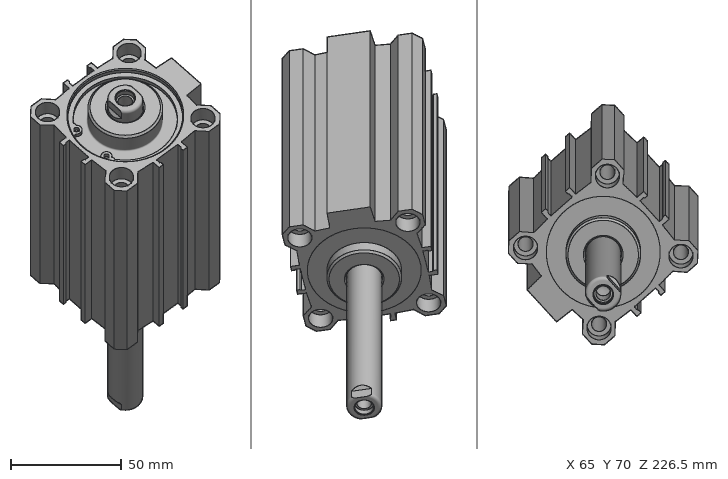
import cadquery as cq
import math

HOUSING_LENGTH = 120.0
HALF_WIDTH = 32.5
WALL_AT_CENTRE = 28.4
WALL_AT_LOBE = 27.8
LOBE_CHAMFER = 4.1
LOBE_FLAT_END = 22.0
LOBE_ROOT = 17.5

RIB_OUTER = 8.65
RIB_INNER = 6.5
RIB_LIP = 6.0
RIB_LIP_START = 30.4
RIB_LIP_FULL = 31.0

BLOCK_TOP = 37.5
BLOCK_ROOT_HALF_WIDTH = 10.5
BLOCK_TOP_HALF_WIDTH = 10.0

BOLT_PITCH = 50.0
BOLT_HOLE_DIAMETER = 6.8
BOLT_HEAD_DIAMETER = 11.0
BOLT_HEAD_DEPTH = 8.5

BORE_DIAMETER = 52.2
BORE_MOUTH_DIAMETER = 53.2
COVER_DIAMETER = 51.8
COVER_RECESS_DEPTH = 4.5
COVER_FLANGE_THICKNESS = 12.0
BOSS_DIAMETER = 34.0
BOSS_PROJECTION = 6.0
BOSS_CHAMFER = 1.0
BOSS_ROOT_FILLET = 0.7
ROD_MOUTH_DIAMETER = 18.0
ROD_MOUTH_ROOT_DIAMETER = 16.54
ROD_CLEARANCE_DEPTH = 3.0

RING_INNER_DIAMETER = 47.4
RING_THICKNESS = 2.0
RING_EAR_X = 10.15
RING_EAR_Y = -20.7
RING_EAR_RADIUS = 2.5
RING_EAR_HOLE_DIAMETER = 2.5
RING_GAP_HALF_WIDTH = 8.4
RING_SHOULDER_Y = -19.05

ROD_DIAMETER = 16.0
ROD_TOP_PROJECTION = 13.0
ROD_BOTTOM_PROJECTION = 93.5
ROD_END_FILLET = 1.5
ROD_FLATS_WIDTH = 13.0
ROD_FLATS_LENGTH = 5.0
ROD_HOLE_DIAMETER = 6.65
ROD_HOLE_DEPTH = 13.0
ROD_HOLE_RIM_DIAMETER = 9.3
ROD_HOLE_MOUTH_DIAMETER = 8.57
ROD_HOLE_MOUTH_DEPTH = 3.0
ROD_HOLE_FLOOR_ANGLE = 160.0

ROD_TOP = HOUSING_LENGTH + ROD_TOP_PROJECTION
ROD_BOTTOM = -ROD_BOTTOM_PROJECTION
ROD_MIDDLE = (ROD_TOP + ROD_BOTTOM) / 2
RING_BOTTOM = HOUSING_LENGTH - COVER_RECESS_DEPTH
COVER_BOTTOM = RING_BOTTOM - COVER_FLANGE_THICKNESS
BOSS_TOP = HOUSING_LENGTH + BOSS_PROJECTION


def cylinder(diameter, bottom, top):
    return cq.Workplane("XY").workplane(offset=bottom).circle(diameter / 2).extrude(top - bottom)


def cone(bottom_diameter, top_diameter, bottom, top):
    lower = cq.Workplane("XY").workplane(offset=bottom).circle(bottom_diameter / 2)
    return lower.workplane(offset=top - bottom).circle(top_diameter / 2).loft()


def ribbed_wall():
    """Outline of the -Y side, from the lobe at -X to the lobe at +X."""
    left_half = [
        (-LOBE_FLAT_END, -HALF_WIDTH),
        (-LOBE_ROOT, -WALL_AT_LOBE),
        (-RIB_OUTER, -WALL_AT_CENTRE),
        (-RIB_OUTER, -HALF_WIDTH),
        (-RIB_LIP, -HALF_WIDTH),
        (-RIB_LIP, -RIB_LIP_FULL),
        (-RIB_INNER, -RIB_LIP_START),
        (-RIB_INNER, -WALL_AT_CENTRE),
    ]
    return left_half + [(-x, y) for x, y in reversed(left_half)]


def block_wall():
    """Outline of the +Y side with its tapered block, from the lobe at +X to the lobe at -X."""
    right_half = [
        (LOBE_FLAT_END, HALF_WIDTH),
        (LOBE_ROOT, WALL_AT_LOBE),
        (BLOCK_ROOT_HALF_WIDTH, WALL_AT_CENTRE),
        (BLOCK_TOP_HALF_WIDTH, BLOCK_TOP),
    ]
    return right_half + [(-x, y) for x, y in reversed(right_half)]


def corner_chamfer(x_side, y_side):
    """The two ends of the slanted face on the outside of a lobe, from the X-facing flat."""
    short = HALF_WIDTH - LOBE_CHAMFER
    return [(x_side * HALF_WIDTH, y_side * short), (x_side * short, y_side * HALF_WIDTH)]


def housing_outline():
    front = ribbed_wall()
    right = [(-y, x) for x, y in front]
    left = [(y, -x) for x, y in front]
    outline = corner_chamfer(-1, -1) + front
    outline += corner_chamfer(1, -1)[::-1] + right
    outline += corner_chamfer(1, 1) + block_wall()
    outline += corner_chamfer(-1, 1)[::-1] + left
    return outline


def make_housing():
    body = cq.Workplane("XY").polyline(housing_outline()).close().extrude(HOUSING_LENGTH)
    mouth = (BORE_MOUTH_DIAMETER - BORE_DIAMETER) / 2
    body = body.cut(cylinder(BORE_DIAMETER, COVER_BOTTOM, HOUSING_LENGTH))
    body = body.cut(cone(BORE_DIAMETER, BORE_MOUTH_DIAMETER, HOUSING_LENGTH - mouth, HOUSING_LENGTH))
    body = body.cut(cylinder(COVER_DIAMETER, 0, COVER_FLANGE_THICKNESS))
    body = body.cut(cylinder(ROD_DIAMETER, 0, HOUSING_LENGTH))
    for x_side in (-1, 1):
        for y_side in (-1, 1):
            place = (x_side * BOLT_PITCH / 2, y_side * BOLT_PITCH / 2, 0)
            hole = cylinder(BOLT_HOLE_DIAMETER, 0, HOUSING_LENGTH)
            hole = hole.union(cylinder(BOLT_HEAD_DIAMETER, 0, BOLT_HEAD_DEPTH))
            top_floor = HOUSING_LENGTH - BOLT_HEAD_DEPTH
            hole = hole.union(cylinder(BOLT_HEAD_DIAMETER, top_floor, HOUSING_LENGTH))
            body = body.cut(hole.translate(place))
    return body


def rod_passage(bottom, top):
    """Rod hole with a clearance and a countersink at its top."""
    countersink_depth = (ROD_MOUTH_DIAMETER - ROD_MOUTH_ROOT_DIAMETER) / 2
    passage = cylinder(ROD_DIAMETER, bottom, top)
    passage = passage.union(cylinder(ROD_MOUTH_ROOT_DIAMETER, top - ROD_CLEARANCE_DEPTH, top))
    return passage.union(cone(ROD_MOUTH_ROOT_DIAMETER, ROD_MOUTH_DIAMETER, top - countersink_depth, top))


def make_top_cover():
    boss = cylinder(BOSS_DIAMETER, RING_BOTTOM, BOSS_TOP).faces(">Z").chamfer(BOSS_CHAMFER)
    cover = cylinder(COVER_DIAMETER, COVER_BOTTOM, RING_BOTTOM).union(boss)
    flange_face = cover.faces("|Z").faces(">Z[-2]")
    cover = flange_face.edges(cq.selectors.RadiusNthSelector(0)).fillet(BOSS_ROOT_FILLET)
    return cover.cut(rod_passage(COVER_BOTTOM, BOSS_TOP))


def make_bottom_cover():
    boss = cylinder(BOSS_DIAMETER, -BOSS_PROJECTION, 0).faces("<Z").chamfer(BOSS_CHAMFER)
    cover = cylinder(COVER_DIAMETER, 0, COVER_FLANGE_THICKNESS).union(boss)
    passage = rod_passage(-COVER_FLANGE_THICKNESS, BOSS_PROJECTION).mirror("XY")
    return cover.cut(passage)


def box_below(y_edge, width):
    """Box of the ring's thickness that reaches from y_edge past the ring in -Y."""
    box = cq.Workplane("XY").box(width, BORE_DIAMETER, RING_THICKNESS, centered=(True, False, False))
    return box.translate((0, y_edge - BORE_DIAMETER, 0))


def make_retaining_ring():
    height = RING_THICKNESS
    disc = cylinder(BORE_DIAMETER, 0, height)
    opening = cylinder(RING_INNER_DIAMETER, 0, height)
    below_shoulder = box_below(RING_SHOULDER_Y, BORE_DIAMETER)
    gap = box_below(0, 2 * RING_GAP_HALF_WIDTH)
    ring = disc.cut(opening.cut(below_shoulder)).cut(gap)
    for side in (-1, 1):
        place = (side * RING_EAR_X, RING_EAR_Y, 0)
        ring = ring.union(cylinder(2 * RING_EAR_RADIUS, 0, height).translate(place))
        ring = ring.cut(cylinder(RING_EAR_HOLE_DIAMETER, 0, height).translate(place))
    return ring.translate((0, 0, RING_BOTTOM))


def flat_cutter(side):
    """Removes one flat at the top end of the rod; its lower end slopes out at 45 degrees."""
    inner = ROD_FLATS_WIDTH / 2
    outer = ROD_DIAMETER
    flat_end = ROD_TOP - ROD_FLATS_LENGTH
    section = [
        (side * inner, ROD_TOP),
        (side * inner, flat_end),
        (side * outer, flat_end - (outer - inner)),
        (side * outer, ROD_TOP),
    ]
    return cq.Workplane("YZ").polyline(section).close().extrude(ROD_DIAMETER / 2, both=True)


def rod_end_hole():
    """Counterbored blind hole with a shallow conical floor, at the top end of the rod."""
    floor = ROD_TOP - ROD_HOLE_DEPTH
    radius = ROD_HOLE_DIAMETER / 2
    rim_radius = ROD_HOLE_RIM_DIAMETER / 2
    mouth_radius = ROD_HOLE_MOUTH_DIAMETER / 2
    point = radius / math.tan(math.radians(ROD_HOLE_FLOOR_ANGLE / 2))
    section = [
        (0, ROD_TOP),
        (rim_radius, ROD_TOP),
        (mouth_radius, ROD_TOP - (rim_radius - mouth_radius)),
        (mouth_radius, ROD_TOP - ROD_HOLE_MOUTH_DEPTH),
        (radius, ROD_TOP - ROD_HOLE_MOUTH_DEPTH),
        (radius, floor),
        (0, floor - point),
    ]
    return cq.Workplane("XZ").polyline(section).close().revolve(360, (0, 0, 0), (0, 1, 0))


def make_rod():
    rod = cylinder(ROD_DIAMETER, ROD_BOTTOM, ROD_TOP).faces("<Z or >Z").edges().fillet(ROD_END_FILLET)
    end_cuts = [flat_cutter(-1), flat_cutter(1), rod_end_hole()]
    for cut in end_cuts:
        rod = rod.cut(cut)
        rod = rod.cut(cut.mirror("XY", (0, 0, ROD_MIDDLE)))
    return rod


housing = make_housing()
top_cover = make_top_cover()
bottom_cover = make_bottom_cover()
retaining_ring = make_retaining_ring()
rod = make_rod()

result = cq.Compound.makeCompound([
    housing.val(),
    top_cover.val(),
    bottom_cover.val(),
    retaining_ring.val(),
    rod.val(),
])